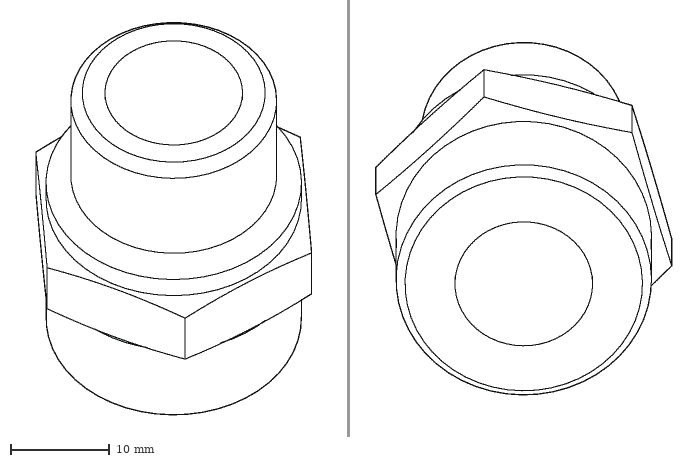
import cadquery as cq
import math

total_height = 36.0
hex_bottom = 12.0
hex_top = 19.5
collar_top = 22.0

bore_diameter = 14.0

hex_across_flats = 27.0
hex_sides = 6
hex_half_angle = 180.0 / hex_sides
hex_across_corners = hex_across_flats / math.cos(math.radians(hex_half_angle))
hex_chamfer_angle = 15.0
corner_clearance = 1.0

lower_diameter = 26.0
lower_chamfer = 0.92

collar_diameter = 26.0

upper_diameter = 20.95
upper_chamfer = 1.17


def cylinder(diameter, bottom, top):
    """Cylinder on the Z axis between two levels."""
    return cq.Workplane("XY").workplane(offset=bottom).circle(diameter / 2).extrude(top - bottom)


def chamfered_spigot(diameter, bottom, top, chamfer):
    """Cylinder with both circular edges chamfered."""
    return cylinder(diameter, bottom, top).faces("<Z or >Z").chamfer(chamfer)


def chamfered_hexagon():
    """Hexagon with flats facing +X and -X and its corners turned down at both ends."""
    prism = (
        cq.Workplane("XY")
        .workplane(offset=hex_bottom)
        .polygon(hex_sides, hex_across_corners)
        .extrude(hex_top - hex_bottom)
        .rotate((0, 0, 0), (0, 0, 1), hex_half_angle)
    )
    face_radius = hex_across_flats / 2
    outer_radius = hex_across_corners / 2 + corner_clearance
    drop = (outer_radius - face_radius) * math.tan(math.radians(hex_chamfer_angle))
    turned_blank = (
        cq.Workplane("XZ")
        .moveTo(0, hex_bottom)
        .lineTo(face_radius, hex_bottom)
        .lineTo(outer_radius, hex_bottom + drop)
        .lineTo(outer_radius, hex_top - drop)
        .lineTo(face_radius, hex_top)
        .lineTo(0, hex_top)
        .close()
        .revolve(360, (0, 0, 0), (0, 1, 0))
    )
    return prism.intersect(turned_blank)


lower_spigot = chamfered_spigot(lower_diameter, 0, hex_bottom, lower_chamfer)
collar = cylinder(collar_diameter, hex_top, collar_top)
upper_spigot = chamfered_spigot(upper_diameter, collar_top, total_height, upper_chamfer)
bore = cylinder(bore_diameter, 0, total_height)

body = chamfered_hexagon().union(lower_spigot).union(collar).union(upper_spigot)
result = body.cut(bore)